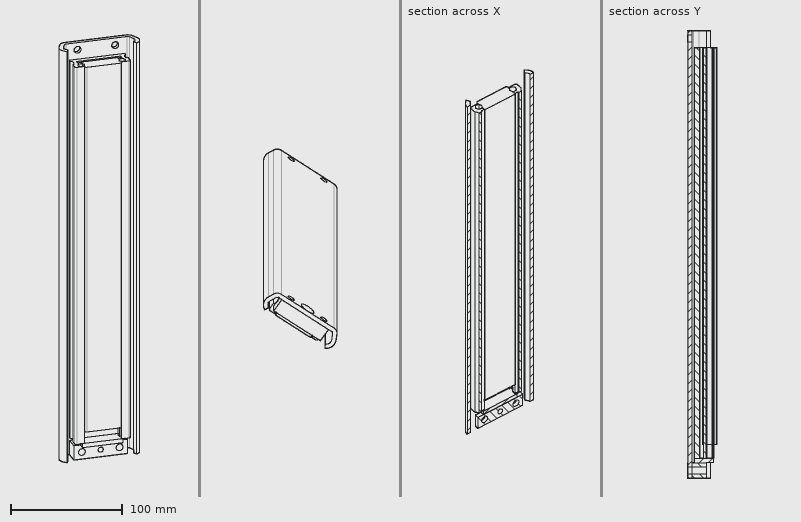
import cadquery as cq
import math

rail_length = 400.0
channel_width = 75.0
back_flat_width = 57.0
wall = 4.0
bend_radius = 6.5
lip_radius = 9.0
lip_center_x = 12.5
lip_end_angle = 62.0

mount_hole_diameter = 6.5
mount_hole_y = 17.5

foot_height = 14.0
foot_width = 50.5
foot_front_x = 17.0
screw_hole_diameter = 5.0
countersink_diameter = 13.5
countersink_floor_diameter = 6.5

plate_thickness = 4.0
plate_width = 38.0
plate_front_x = 23.0

middle_back_x = 6.0
middle_front_x = 23.5
middle_width = 52.0
middle_floor_x = 11.0
outer_groove_x = lip_center_x
outer_groove_radius = 5.0
outer_groove_depth = 2.0
relief_width = 41.0
relief_front_x = 14.0

inner_back_x = 13.0
inner_front_x = 26.0
inner_width = 34.5
inner_bottom_z = 30.0

front_edge_radius = 1.5
sliding_top_drop = 15.0

track_x = 19.5
track_y = 19.0
track_radius = 3.0

end_hole_inset = foot_height / 2
middle_bottom_z = foot_height + plate_thickness
sliding_top_z = rail_length - sliding_top_drop


def block(x_range, width, z_range):
    """Box between two X and two Z values, centred on Y = 0."""
    x0, x1 = x_range
    z0, z1 = z_range
    start = cq.Workplane("XY", origin=(x0, 0, z0))
    return start.box(x1 - x0, width, z1 - z0, centered=(False, True, False))


def rod(x, y, radius, z_range):
    """Upright cylinder used to cut ball tracks and grooves."""
    z0, z1 = z_range
    return cq.Workplane("XY", origin=(x, y, z0)).circle(radius).extrude(z1 - z0)


def cross_hole(y, z, diameter, length):
    """Cylinder along +X from the outer face of the channel back."""
    return cq.Workplane("YZ", origin=(0, y, z)).circle(diameter / 2).extrude(length)


def make_channel():
    """Back wall and two curled lips of constant thickness."""
    bend_center = (bend_radius, back_flat_width / 2)
    lip_center = (lip_center_x, channel_width / 2 - lip_radius)

    step_x = lip_center[0] - bend_center[0]
    step_y = lip_center[1] - bend_center[1]
    radius_gain = lip_radius - bend_radius
    slope = math.degrees(math.asin(radius_gain / math.hypot(step_x, step_y)) + math.atan2(step_y, step_x))

    def on_arc(center, radius, angle, side):
        """Point on a bend or lip arc, with the angle measured from +Y toward +X."""
        turn = math.radians(angle)
        return (center[0] + radius * math.sin(turn), side * (center[1] + radius * math.cos(turn)))

    def side_points(inset, side):
        """Bend start, middle and end, then lip start, middle and end."""
        bend = bend_radius - inset
        lip = lip_radius - inset
        return [
            on_arc(bend_center, bend, -90, side),
            on_arc(bend_center, bend, -(90 + slope) / 2, side),
            on_arc(bend_center, bend, -slope, side),
            on_arc(lip_center, lip, -slope, side),
            on_arc(lip_center, lip, (lip_end_angle - slope) / 2, side),
            on_arc(lip_center, lip, lip_end_angle, side),
        ]

    def trace(path, points):
        """Add an arc, a straight and an arc through one side's points, in either direction."""
        return (
            path.lineTo(*points[0])
            .threePointArc(points[1], points[2])
            .lineTo(*points[3])
            .threePointArc(points[4], points[5])
        )

    outline = cq.Workplane("XY").moveTo(0, 0)
    outline = trace(outline, side_points(0, 1))
    outline = trace(outline, side_points(wall, 1)[::-1])
    outline = trace(outline, side_points(wall, -1))
    outline = trace(outline, side_points(0, -1)[::-1])
    channel = outline.close().extrude(rail_length)

    for z in (end_hole_inset, rail_length - end_hole_inset):
        for y in (-mount_hole_y, mount_hole_y):
            channel = channel.cut(cross_hole(y, z, mount_hole_diameter, wall))

    countersink = cq.Solid.makeCone(
        countersink_diameter / 2,
        countersink_floor_diameter / 2,
        wall,
        pnt=cq.Vector(0, 0, end_hole_inset),
        dir=cq.Vector(1, 0, 0),
    )
    return channel.cut(cq.Workplane(countersink))


def make_foot():
    """Block on the channel back with the screw hole and mounting holes running through it."""
    foot = block((wall, foot_front_x), foot_width, (0, foot_height))
    foot = foot.cut(cross_hole(0, end_hole_inset, screw_hole_diameter, foot_front_x))
    for y in (-mount_hole_y, mount_hole_y):
        foot = foot.cut(cross_hole(y, end_hole_inset, mount_hole_diameter, foot_front_x))
    return foot


def make_end_plate():
    """Flat plate closing the lower end of the middle rail."""
    return block((middle_back_x, plate_front_x), plate_width, (foot_height, middle_bottom_z))


def cut_ball_tracks(rail, z_range):
    """Cut each rail's share of the two round tracks."""
    for side in (-1, 1):
        rail = rail.cut(rod(track_x, side * track_y, track_radius, z_range))
    return rail


def make_middle_rail():
    """C section with outer grooves, inner corner reliefs and rounded front edges."""
    z_range = (middle_bottom_z, sliding_top_z)
    rail = block((middle_back_x, middle_front_x), middle_width, z_range)
    rail = rail.edges("|Z and >X").fillet(front_edge_radius)
    rail = rail.cut(block((middle_floor_x, middle_front_x), inner_width, z_range))
    rail = rail.cut(block((middle_floor_x, relief_front_x), relief_width, z_range))
    groove_y = middle_width / 2 - outer_groove_depth + outer_groove_radius
    for side in (-1, 1):
        rail = rail.cut(rod(outer_groove_x, side * groove_y, outer_groove_radius, z_range))
    return cut_ball_tracks(rail, z_range)


def make_inner_rail():
    """Solid bar with rounded front edges and a ball track along each side."""
    z_range = (inner_bottom_z, sliding_top_z)
    rail = block((inner_back_x, inner_front_x), inner_width, z_range)
    rail = rail.edges("|Z and >X").fillet(front_edge_radius)
    return cut_ball_tracks(rail, z_range)


channel = make_channel()
foot = make_foot()
end_plate = make_end_plate()
middle_rail = make_middle_rail()
inner_rail = make_inner_rail()

result = cq.Compound.makeCompound(
    [channel.val(), foot.val(), end_plate.val(), middle_rail.val(), inner_rail.val()]
)